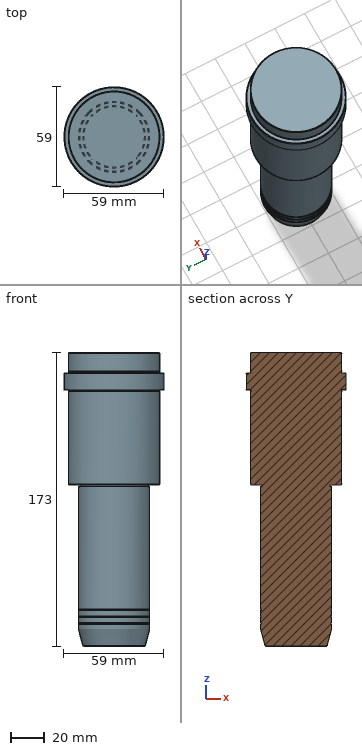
import cadquery as cq
import math

total_length = 173.0
head_diameter = 54.0
collar_diameter = 59.0
shank_diameter = 42.0

head_length = 12.0
collar_length = 10.0
shank_length = 95.0
collar_top = total_length - head_length
collar_bottom = collar_top - collar_length

shank_relief_width = 1.0
shank_relief_depth = 0.8

collar_groove_width = 1.0
collar_groove_depth = 0.25

groove_count = 3
groove_width = 1.0
groove_depth = 0.4
groove_pitch = 4.0
lowest_groove_bottom = 13.0

nose_length = 10.0
nose_angle = 15.0
edge_chamfer = 0.5


def cylinder(diameter, bottom, top):
    """Solid cylinder on the Z axis between two heights."""
    return cq.Workplane("XY").workplane(offset=bottom).circle(diameter / 2).extrude(top - bottom)


def revolve_profile(points):
    """Solid of revolution about Z from (radius, height) points."""
    return cq.Workplane("XZ").polyline(points).close().revolve(360, (0, 0, 0), (0, 1, 0))


def v_groove_cutter(diameter, depth, bottom, width):
    """Triangular ring that cuts a symmetric V-groove into a cylinder."""
    surface_radius = diameter / 2
    return revolve_profile([
        (surface_radius, bottom),
        (surface_radius - depth, bottom + width / 2),
        (surface_radius, bottom + width),
    ])


def make_nose():
    """Tapered lead-in with a chamfered end face."""
    shank_radius = shank_diameter / 2
    tip_radius = shank_radius - nose_length * math.tan(math.radians(nose_angle))
    taper = revolve_profile([(0, 0), (tip_radius, 0), (shank_radius, nose_length), (0, nose_length)])
    return taper.faces("<Z").edges().chamfer(edge_chamfer)


def make_shank():
    """Shank with a relief under the body and lubrication grooves above the nose."""
    relief_bottom = shank_length - shank_relief_width
    neck_diameter = shank_diameter - 2 * shank_relief_depth
    shank = cylinder(shank_diameter, nose_length, relief_bottom)
    shank = shank.union(cylinder(neck_diameter, relief_bottom, shank_length))
    for index in range(groove_count):
        groove_bottom = lowest_groove_bottom + index * groove_pitch
        shank = shank.cut(v_groove_cutter(shank_diameter, groove_depth, groove_bottom, groove_width))
    return shank


def make_body():
    """Large cylinder with chamfered ends and a groove on each side of the collar."""
    body = cylinder(head_diameter, shank_length, total_length)
    body = body.faces("<Z").edges().chamfer(edge_chamfer)
    body = body.faces(">Z").edges().chamfer(edge_chamfer)
    for groove_bottom in (collar_top, collar_bottom - collar_groove_width):
        body = body.cut(
            v_groove_cutter(head_diameter, collar_groove_depth, groove_bottom, collar_groove_width)
        )
    return body


def make_collar():
    """Collar around the body with a chamfered top rim."""
    collar = cylinder(collar_diameter, collar_bottom, collar_top)
    return collar.faces(">Z").edges().chamfer(edge_chamfer)


result = make_nose().union(make_shank()).union(make_body()).union(make_collar())